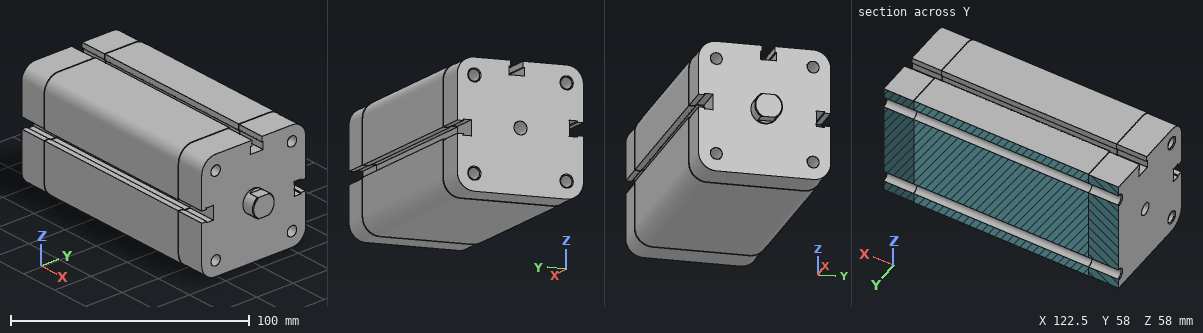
import cadquery as cq
total_length = 122.5
rod_reach = 6.5
cap_length = 14.8
tube_length = total_length - rod_reach - 2 * cap_length

tube_width = 58.0
cap_width = 57.5
hole_inset = 8.0
corner_center = tube_width / 2 - hole_inset
tube_corner_radius = tube_width / 2 - corner_center
cap_corner_radius = cap_width / 2 - corner_center

slot_offset = 1.7
slot_floor_height = tube_width / 2 - 6.6
slot_step_height = tube_width / 2 - 3.0
tube_mouth_width = 5.1
tube_slot_width = 6.4
cap_slot_clearance = 0.2
slot_face_angles = (0, 90, -90)

bolt_hole_diameter = 5.1
countersink_diameter = 6.0
rear_hole_diameter = 5.9

rod_diameter = 12.0
rod_chamfer = 0.4
flat_spacing = 10.0
flat_start = 1.2
flat_run_in = 0.5

rear_x = -total_length / 2
tube_start_x = rear_x + cap_length
tube_end_x = tube_start_x + tube_length
front_x = tube_end_x + cap_length


def section_plane(x):
    """Plane across the X axis at x, with local x along +Y and local y along +Z."""
    return cq.Workplane("YZ", origin=(x, 0, 0))


def slot_cutter(x, length, clearance):
    """T-slot in the top face, with its mouth open upward."""
    mouth_half = tube_mouth_width / 2 + clearance
    slot_half = tube_slot_width / 2 + clearance
    open_height = tube_width
    return (
        section_plane(x)
        .moveTo(slot_offset - slot_half, slot_floor_height)
        .lineTo(slot_offset + slot_half, slot_floor_height)
        .lineTo(slot_offset + slot_half, slot_step_height)
        .lineTo(slot_offset + mouth_half, slot_step_height)
        .lineTo(slot_offset + mouth_half, open_height)
        .lineTo(slot_offset - mouth_half, open_height)
        .lineTo(slot_offset - mouth_half, slot_step_height)
        .lineTo(slot_offset - slot_half, slot_step_height)
        .close()
        .extrude(length)
    )


def corner_cylinders(x, length, diameter):
    """Four cylinders along X, one at the centre of each rounded corner."""
    spacing = 2 * corner_center
    centers = section_plane(x).rect(spacing, spacing, forConstruction=True).vertices()
    return centers.circle(diameter / 2).extrude(length)


def slotted_block(x, length, width, corner_radius, slot_clearance):
    """Rounded square block with the T-slots and bolt holes running through it."""
    block = section_plane(x).rect(width, width).extrude(length).edges("|X").fillet(corner_radius)
    cutter = slot_cutter(x, length, slot_clearance)
    for angle in slot_face_angles:
        block = block.cut(cutter.rotate((0, 0, 0), (1, 0, 0), angle))
    return block.cut(corner_cylinders(x, length, bolt_hole_diameter))


def make_cap(x):
    """Plain end cap."""
    return slotted_block(x, cap_length, cap_width, cap_corner_radius, cap_slot_clearance)


def make_rear_cap():
    """End cap with countersunk bolt holes and a central hole that the tube closes."""
    countersink_depth = (countersink_diameter - bolt_hole_diameter) / 2
    countersink = cq.Solid.makeCone(
        countersink_diameter / 2, bolt_hole_diameter / 2, countersink_depth, dir=cq.Vector(1, 0, 0)
    )
    cap = make_cap(rear_x)
    for y in (-corner_center, corner_center):
        for z in (-corner_center, corner_center):
            cap = cap.cut(cq.Workplane(countersink.translate(cq.Vector(rear_x, y, z))))
    return cap.cut(section_plane(rear_x).circle(rear_hole_diameter / 2).extrude(cap_length))


def make_piston_rod():
    """Rod standing on the front cap, with a flat on its top and bottom that starts with a steep run-in."""
    rod = section_plane(front_x).circle(rod_diameter / 2).extrude(rod_reach).faces(">X").chamfer(rod_chamfer)
    flat_height = flat_spacing / 2
    rod_radius = rod_diameter / 2
    flat_cutter = (
        cq.Workplane("XZ", origin=(front_x, 0, 0))
        .moveTo(flat_start, flat_height)
        .lineTo(rod_reach, flat_height)
        .lineTo(rod_reach, rod_radius)
        .lineTo(flat_start - flat_run_in, rod_radius)
        .close()
        .extrude(rod_radius, both=True)
    )
    return rod.cut(flat_cutter).cut(flat_cutter.mirror("XY"))


tube = slotted_block(tube_start_x, tube_length, tube_width, tube_corner_radius, 0)
rear_cap = make_rear_cap()
front_cap = make_cap(tube_end_x)
piston_rod = make_piston_rod()

result = cq.Compound.makeCompound([tube.val(), rear_cap.val(), front_cap.val(), piston_rod.val()])